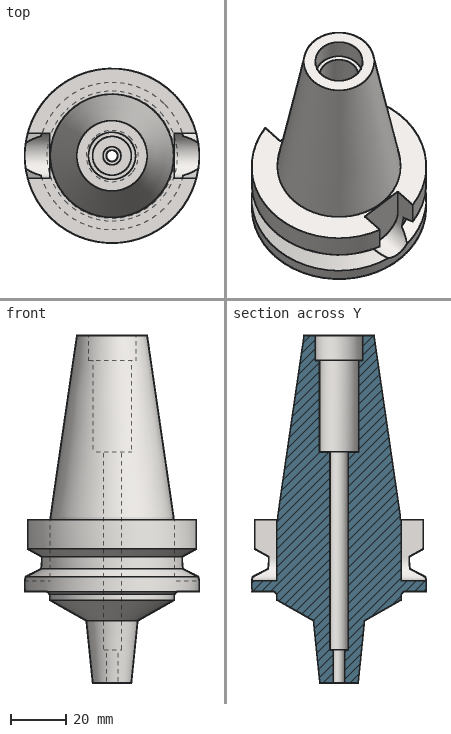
import cadquery as cq
import math


gauge_diameter = 44.45
gauge_height = 60.0
taper_length = 65.4
taper_ratio = 7 / 24
taper_top = gauge_height + taper_length
taper_small_diameter = gauge_diameter - taper_length * taper_ratio

flange_diameter = 63.0
flange_top = gauge_height - 1.0
flange_bottom = gauge_height - 27.0
groove_center = gauge_height - 16.6
groove_width = 10.0
groove_floor_diameter = 53.2
groove_flank_angle = 30.0

slot_width = 16.1
slot_floor_distance = 22.5
slot_bottom = 37.0

collar_diameter = 45.0
collar_chamfer = 1.0
collar_bottom = 30.0
shank_top = 22.5
shank_top_diameter = 18.6
nose_diameter = 14.0

pilot_diameter = 17.0
pilot_depth = 9.0
thread_diameter = 14.0
thread_depth = 42.0
relief_diameter = 6.5
relief_bottom = 12.0
tool_diameter = 4.0


def make_body():
    """Solid of revolution: nose, collar, grooved flange and spindle taper."""
    flange_radius = flange_diameter / 2
    groove_floor_radius = groove_floor_diameter / 2
    flank_drop = (flange_radius - groove_floor_radius) * math.tan(math.radians(groove_flank_angle))
    groove_low = groove_center - groove_width / 2
    groove_high = groove_center + groove_width / 2
    collar_radius = collar_diameter / 2
    profile = [
        (0, 0),
        (nose_diameter / 2, 0),
        (shank_top_diameter / 2, shank_top),
        (collar_radius, collar_bottom),
        (collar_radius, flange_bottom - collar_chamfer),
        (collar_radius + collar_chamfer, flange_bottom),
        (flange_radius, flange_bottom),
        (flange_radius, groove_low),
        (groove_floor_radius, groove_low + flank_drop),
        (groove_floor_radius, groove_high - flank_drop),
        (flange_radius, groove_high),
        (flange_radius, flange_top),
        (gauge_diameter / 2, flange_top),
        (gauge_diameter / 2, gauge_height),
        (taper_small_diameter / 2, taper_top),
        (0, taper_top),
    ]
    return cq.Workplane("XZ").polyline(profile).close().revolve(360, (0, 0, 0), (0, 1, 0))


def make_drive_slot(side):
    """Round-bottomed slot cutter on the +X (side = 1) or -X (side = -1) flank."""
    half_width = slot_width / 2
    return (
        cq.Workplane("YZ", origin=(side * slot_floor_distance, 0, 0))
        .moveTo(-half_width, flange_top)
        .lineTo(-half_width, slot_bottom + half_width)
        .threePointArc((0, slot_bottom), (half_width, slot_bottom + half_width))
        .lineTo(half_width, flange_top)
        .close()
        .extrude(side * flange_diameter / 2)
    )


def make_bore():
    """Stepped bore along the axis, narrowing from the taper end to the nose."""
    steps = [
        (pilot_diameter, taper_top - pilot_depth),
        (thread_diameter, taper_top - thread_depth),
        (relief_diameter, relief_bottom),
        (tool_diameter, 0),
    ]
    bore = cq.Workplane("XY")
    for diameter, bottom in steps:
        bore = bore.union(
            cq.Workplane("XY", origin=(0, 0, bottom)).circle(diameter / 2).extrude(taper_top - bottom)
        )
    return bore


result = make_body().cut(make_bore())
for side in (-1, 1):
    result = result.cut(make_drive_slot(side))